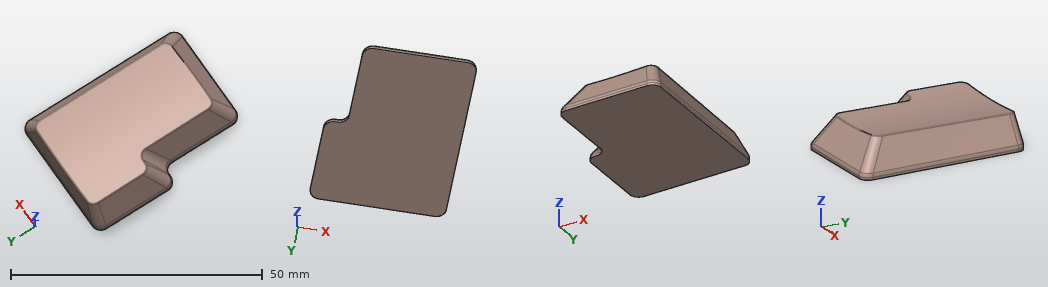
import cadquery as cq
import math

LENGTH = 37.2
WIDTH = 27.45
NOTCH_WIDTH = 4.5
BACK_ARM = 18.68

SKIRT_TOP = 0.55
BAND_TOP = 1.38
BAND_MIDDLE = (SKIRT_TOP + BAND_TOP) / 2
BLANK_TOP = 8.2

SIDE_LEAN = 0.5
FRONT_LEAN = 0.66
BACK_LEAN = 0.09

BASE_CORNER_RADIUS = 2.0
TOP_CORNER_RADIUS = 1.67

DISH_RADIUS = 100.45
DISH_TILT = 1.1
DISH_HEIGHT = 6.9
RIM_RADIUS = 0.22


def wall_run(z):
    """Height over which a wall has leaned by level z; it builds up gradually in the band."""
    if z < BAND_TOP:
        return (z - SKIRT_TOP) ** 2 / (2 * (BAND_TOP - SKIRT_TOP))
    return z - BAND_MIDDLE


def corner_radius(z):
    """Plan radius of the corners at level z."""
    rise = (z - SKIRT_TOP) / (BLANK_TOP - SKIRT_TOP)
    return BASE_CORNER_RADIUS + (TOP_CORNER_RADIUS - BASE_CORNER_RADIUS) * rise


def leaned(edge_y, lean, run, slope):
    """Y where a wall that starts at edge_y and leans towards +Y meets a plane falling towards +Y."""
    return (edge_y + lean * run) / (1 + lean * slope)


def section(z, tilt=0.0):
    """Rounded outline of the cap on a plane that is at level z on the X axis and falls towards +Y."""
    slope = math.tan(math.radians(tilt))
    run = wall_run(z)
    right = WIDTH / 2 - SIDE_LEAN * run
    left = -right
    notch_x = left + NOTCH_WIDTH
    back = leaned(LENGTH / 2, -BACK_LEAN, run, slope)
    front = leaned(-LENGTH / 2, FRONT_LEAN, run, slope)
    notch_y = leaned(LENGTH / 2 - BACK_ARM, FRONT_LEAN, run, slope)
    corners = [
        (notch_x, front),
        (right, front),
        (right, back),
        (left, back),
        (left, notch_y),
        (notch_x, notch_y),
    ]
    outline = cq.Wire.makePolygon([cq.Vector(x, y, z - slope * y) for x, y in corners], close=True)
    return outline.fillet2D(corner_radius(z), outline.Vertices())


def loft(sections, ruled):
    """Solid through the given outlines, straight between them when ruled, smoothly curved otherwise."""
    return cq.Workplane(cq.Solid.makeLoft(sections, ruled))


def dish_cutter():
    """Tilted cylinder, longer than the cap, whose underside shapes the top."""
    return (
        cq.Workplane("XZ", origin=(0, 0, DISH_HEIGHT))
        .center(0, DISH_RADIUS)
        .circle(DISH_RADIUS)
        .extrude(LENGTH, both=True)
        .rotate((0, 0, DISH_HEIGHT), (1, 0, DISH_HEIGHT), -DISH_TILT)
    )


skirt = cq.Workplane(cq.Solid.extrudeLinear(section(SKIRT_TOP), [], cq.Vector(0, 0, -SKIRT_TOP)))
band = loft([section(z) for z in (SKIRT_TOP, BAND_MIDDLE, BAND_TOP)], ruled=False)
walls = loft([section(BAND_TOP), section(BLANK_TOP, DISH_TILT)], ruled=True)

cap = skirt.union(band).union(walls).cut(dish_cutter())
result = cap.faces(">Z").edges().fillet(RIM_RADIUS)